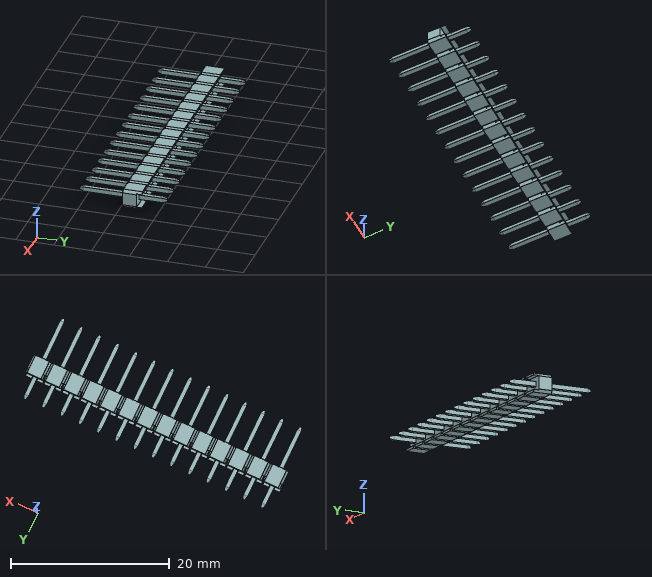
import cadquery as cq

PIN_COUNT = 14
PITCH = 2.54
HOUSING_LENGTH = PIN_COUNT * PITCH
HOUSING_HEIGHT = 2.5
HOUSING_DEPTH = 2.54
CELL_CHAMFER_X = 0.30
CELL_CHAMFER_Z = 0.40

CHANNEL_DEPTH = 0.7
LIP_THICKNESS = 0.32

PIN_WIDTH = 0.64
PIN_LENGTH = 11.6
PIN_BACK_LENGTH = 3.0
TIP_LENGTH = 0.55
TIP_WIDTH = 0.32
PIN_OFFSET_X = -0.10
PIN_OFFSET_Z = -0.01

HOUSING_BACK_Y = HOUSING_DEPTH / 2
PIN_BACK_Y = HOUSING_BACK_Y + PIN_BACK_LENGTH
PIN_FRONT_Y = PIN_BACK_Y - PIN_LENGTH
CELL_CENTERS_X = [(i - (PIN_COUNT - 1) / 2) * PITCH for i in range(PIN_COUNT)]


def xz_plane(y):
    """Plane at the given Y whose normal points toward +Y; its local x runs along -X."""
    return cq.Plane(origin=(0, y, 0), xDir=(-1, 0, 0), normal=(0, 1, 0))


def make_cell():
    """One octagonal housing cell, centred on the origin."""
    half_width = PITCH / 2
    half_height = HOUSING_HEIGHT / 2
    flat_x = half_width - CELL_CHAMFER_X
    flat_z = half_height - CELL_CHAMFER_Z
    outline = [
        (-half_width, -flat_z),
        (-flat_x, -half_height),
        (flat_x, -half_height),
        (half_width, -flat_z),
        (half_width, flat_z),
        (flat_x, half_height),
        (-flat_x, half_height),
        (-half_width, flat_z),
    ]
    return cq.Workplane(xz_plane(-HOUSING_BACK_Y)).polyline(outline).close().extrude(HOUSING_DEPTH)


def make_housing():
    """The row of cells with the channel cut along its back face."""
    cell = make_cell()
    housing = cq.Workplane()
    for x in CELL_CENTERS_X:
        housing = housing.add(cell.translate((x, 0, 0)))
    housing = housing.combine(clean=True)
    channel_height = HOUSING_HEIGHT - 2 * LIP_THICKNESS
    channel = cq.Workplane().box(HOUSING_LENGTH, CHANNEL_DEPTH, channel_height)
    return housing.cut(channel.translate((0, HOUSING_BACK_Y - CHANNEL_DEPTH / 2, 0)))


def make_tip(base_y, end_y):
    """Tapered pin tip between its full-width base and its narrow end."""
    return (
        cq.Workplane(xz_plane(base_y))
        .rect(PIN_WIDTH, PIN_WIDTH)
        .workplane(offset=end_y - base_y)
        .rect(TIP_WIDTH, TIP_WIDTH)
        .loft(ruled=True)
    )


def make_pin():
    """One pin along Y, centred on X = 0 and Z = 0."""
    shank_length = PIN_LENGTH - 2 * TIP_LENGTH
    front_base_y = PIN_FRONT_Y + TIP_LENGTH
    back_base_y = PIN_BACK_Y - TIP_LENGTH
    shank = cq.Workplane(xz_plane(front_base_y)).rect(PIN_WIDTH, PIN_WIDTH).extrude(shank_length)
    return shank.union(make_tip(front_base_y, PIN_FRONT_Y)).union(make_tip(back_base_y, PIN_BACK_Y))


def make_header():
    """The housing with one pin through every cell."""
    header = make_housing()
    pin = make_pin()
    for x in CELL_CENTERS_X:
        header = header.union(pin.translate((x + PIN_OFFSET_X, 0, PIN_OFFSET_Z)))
    return header


result = make_header()